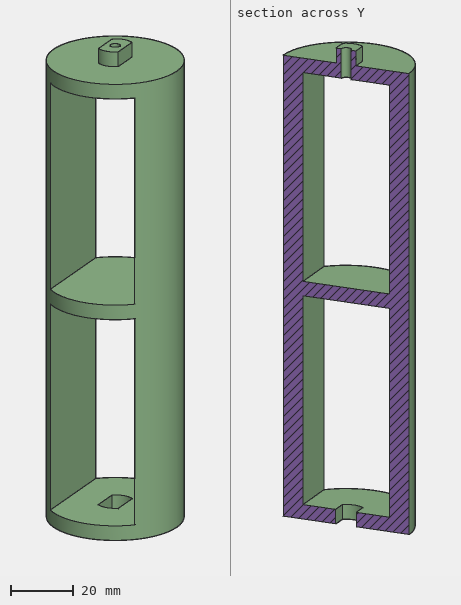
import cadquery as cq

disc_diameter = 44.0
disc_thickness = 5.0
bay_height = 70.0
bay_count = 2
level_pitch = disc_thickness + bay_height
body_height = bay_count * level_pitch + disc_thickness

opening_width = 30.0

tab_diameter = 12.0
tab_width = 7.0
tab_height = 5.0
tab_hole_diameter = 3.3

socket_clearance = 0.2
socket_diameter = tab_diameter + socket_clearance
socket_width = tab_width + socket_clearance


def double_flat_prism(diameter, width, height, base_z):
    """Cylinder along Z trimmed by two flats to the given width in X."""
    cylinder = cq.Workplane("XY", origin=(0, 0, base_z)).circle(diameter / 2).extrude(height)
    slab = cq.Workplane("XY", origin=(0, 0, base_z)).rect(width, diameter).extrude(height)
    return cylinder.intersect(slab)


def bay_opening(base_z):
    """Block that clears one bay and leaves a flat-backed wall on each side."""
    return (
        cq.Workplane("XY", origin=(0, 0, base_z))
        .rect(opening_width, disc_diameter)
        .extrude(bay_height)
    )


body = cq.Workplane("XY").circle(disc_diameter / 2).extrude(body_height)
for level in range(bay_count):
    body = body.cut(bay_opening(level * level_pitch + disc_thickness))

body = body.union(double_flat_prism(tab_diameter, tab_width, tab_height, body_height))
body = body.cut(double_flat_prism(socket_diameter, socket_width, disc_thickness, 0))

tab_hole = (
    cq.Workplane("XY", origin=(0, 0, body_height - disc_thickness))
    .circle(tab_hole_diameter / 2)
    .extrude(disc_thickness + tab_height)
)
result = body.cut(tab_hole)